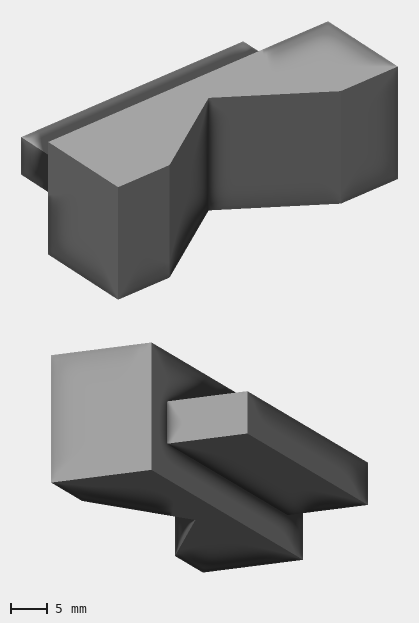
import cadquery as cq

block_width = 15.0
block_length = 49
block_height = 18.0

tongue_reach = 12.0
tongue_height = 6.0
tongue_bottom = 5.0
tongue_end_margin = 5.05

notch_start = 9.0
notch_width = 30.0
notch_depth = 10.0

block = (
    cq.Workplane("XY")
    .moveTo(0, 0)
    .lineTo(block_width, 0)
    .lineTo(block_width, notch_start)
    .lineTo(block_width - notch_depth, notch_start + notch_width / 2)
    .lineTo(block_width, notch_start + notch_width)
    .lineTo(block_width, block_length)
    .lineTo(0, block_length)
    .close()
    .extrude(block_height)
)

tongue_length = block_length - 2 * tongue_end_margin
tongue = (
    cq.Workplane("XY")
    .box(tongue_reach, tongue_length, tongue_height, centered=False)
    .translate((-tongue_reach, tongue_end_margin, tongue_bottom))
)

result = block.union(tongue)